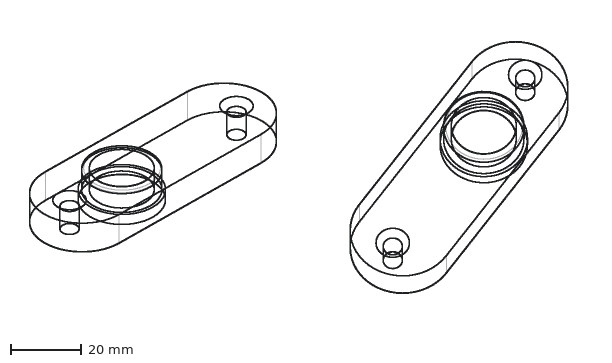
import cadquery as cq

plate_length = 87.0
plate_width = 30.0
plate_thickness = 10.0

screw_offset = 33.5
screw_diameter = 5.5
countersink_diameter = 9.6
countersink_angle = 90.0

bushing_y = -12.5
bushing_outer_diameter = 23.0
bushing_bore_diameter = 18.5
bushing_projection = 1.0
bushing_length = 7.5
bushing_edge_radius = 0.5
bushing_top = plate_thickness + bushing_projection
bushing_bottom = bushing_top - bushing_length

recess_diameter = 25.0


def bushing_axis_disc(diameter, bottom, height):
    """Solid disc on the bushing axis, standing on the given Z level."""
    return (
        cq.Workplane("XY", origin=(0, bushing_y, bottom))
        .circle(diameter / 2)
        .extrude(height)
    )


def make_plate():
    """Round-ended plate with two countersunk holes and a recessed seat for the bushing."""
    plate = (
        cq.Workplane("XY")
        .slot2D(plate_length, plate_width, angle=90)
        .extrude(plate_thickness)
        .faces(">Z")
        .workplane(origin=(0, 0, 0))
        .pushPoints([(0, -screw_offset), (0, screw_offset)])
        .cskHole(screw_diameter, countersink_diameter, countersink_angle)
    )
    seat = bushing_axis_disc(bushing_outer_diameter, 0, plate_thickness)
    recess = bushing_axis_disc(recess_diameter, 0, bushing_bottom)
    return plate.cut(seat).cut(recess)


def make_bushing():
    """Ring that stops at the recess, rounded on its outer top edge."""
    return (
        bushing_axis_disc(bushing_outer_diameter, bushing_bottom, bushing_length)
        .faces(">Z")
        .edges()
        .fillet(bushing_edge_radius)
        .faces(">Z")
        .workplane()
        .hole(bushing_bore_diameter)
    )


plate = make_plate()
bushing = make_bushing()

result = cq.Compound.makeCompound([plate.val(), bushing.val()])